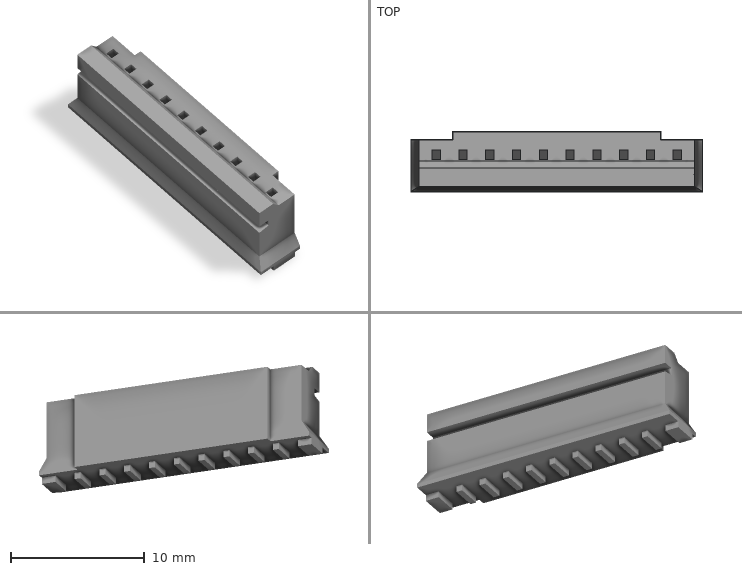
import cadquery as cq


length = 21.8
depth = 4.5
height = 6.85

foot_height = 0.5
rim_thickness = 0.33
flare_height = 0.98
flare_side = 0.6
flare_front = 0.4

ledge_drop = 0.59
crest_depth = 1.37
crest_slope = 0.55
notch_depth = 0.92
notch_top_drop = 1.55
notch_inner_height = 0.59
notch_outer_height = 0.75

tab_length = 15.57
tab_thickness = 0.59

pocket_count = 10
pocket_row_length = 18.0
pocket_width = 0.6
pocket_depth_y = 0.7
pocket_rear_gap = 1.37

foot_depth_y = 2.1
foot_rear_gap = 1.11
foot_width = 0.48
end_foot_width = 1.11

body_length = length - 2 * flare_side
body_back = depth - tab_thickness
rim_top = foot_height + rim_thickness
flare_top = rim_top + flare_height
ledge_z = height - ledge_drop
notch_top = height - notch_top_drop
crest_back = flare_front + crest_depth
pitch = pocket_row_length / (pocket_count - 1)


def block(x_center, width, y_front, y_back, z_bottom, z_top):
    """Upright box given by its centre along X and its limits in Y and Z."""
    return (
        cq.Workplane("XY")
        .box(width, y_back - y_front, z_top - z_bottom, centered=(True, False, False))
        .translate((x_center, y_front, z_bottom))
    )


def row_places(count):
    """X places of a centred row spaced at the contact pitch."""
    return [(i - (count - 1) / 2) * pitch for i in range(count)]


def make_body():
    """Constant section along X: front notch, raised crest and rear ledge."""
    section = [
        (flare_front, foot_height),
        (flare_front, notch_top - notch_outer_height),
        (flare_front + notch_depth, notch_top - notch_inner_height),
        (flare_front + notch_depth, notch_top),
        (flare_front, notch_top),
        (flare_front, height),
        (crest_back, height),
        (crest_back + crest_slope, ledge_z),
        (body_back, ledge_z),
        (body_back, foot_height),
    ]
    return cq.Workplane("YZ").polyline(section).close().extrude(body_length / 2, both=True)


def make_flare():
    """Skirt tapering on the front and both ends, flush with the body at the back."""
    return (
        cq.Workplane("XY", origin=(0, body_back / 2, rim_top))
        .rect(length, body_back)
        .workplane(offset=flare_height)
        .center(0, flare_front / 2)
        .rect(body_length, body_back - flare_front)
        .loft(ruled=True)
    )


def make_feet():
    """One narrow foot between each pair of pockets, and a wide foot at each end."""
    foot_back = depth - foot_rear_gap
    foot_front = foot_back - foot_depth_y
    end_x = (length - end_foot_width) / 2
    feet = []
    for x in (-end_x, end_x):
        feet.append(block(x, end_foot_width, foot_front, foot_back, 0, foot_height))
    for x in row_places(pocket_count - 1):
        feet.append(block(x, foot_width, foot_front, foot_back, 0, foot_height))
    return feet


def make_pockets():
    """Blind rectangular pockets sunk from the ledge to the top of the flare."""
    pocket_back = depth - pocket_rear_gap
    pocket_front = pocket_back - pocket_depth_y
    return [
        block(x, pocket_width, pocket_front, pocket_back, flare_top, ledge_z)
        for x in row_places(pocket_count)
    ]


rim = block(0, length, 0, body_back, foot_height, rim_top)
tab = block(0, tab_length, body_back, depth, foot_height, ledge_z)
result = make_body().union(rim).union(make_flare()).union(tab)
for foot in make_feet():
    result = result.union(foot)
for pocket in make_pockets():
    result = result.cut(pocket)